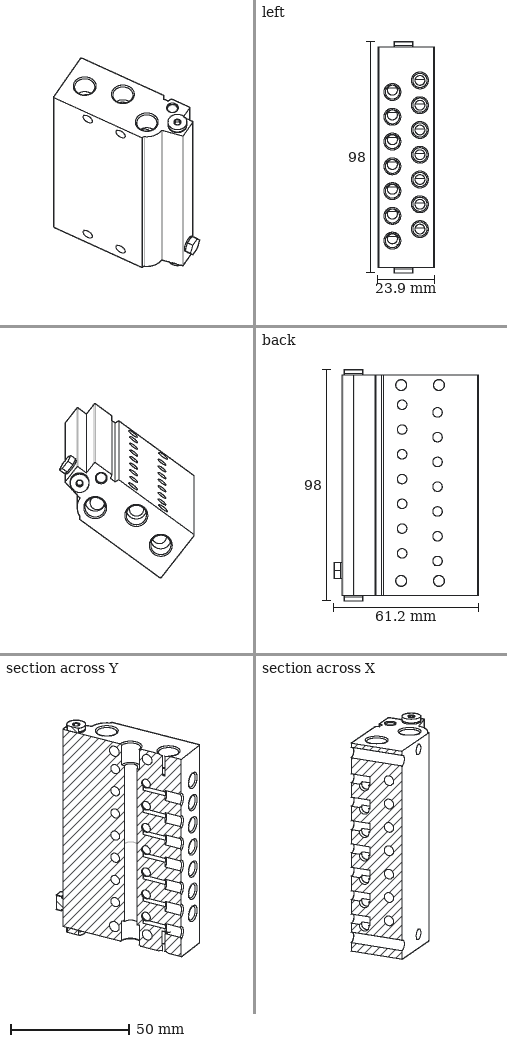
import cadquery as cq
import math

block_height = 93.5
block_depth = 23.9
block_top_z = block_height / 2
flange_x = 53.0
nose_x = 57.8
nose_back_y = 18.0
nose_front_y = 9.3
nose_root_y = 7.5
foot_x = 43.2
foot_fillet = 0.9
foot_chamfer = 0.2
root_fillet = 0.4
boss_radius = 7.6
edge_break = 0.4
port_face_chamfer = 0.4

groove_mouth = (40.3, 43.9)
groove_floor = (41.0, 43.3)
groove_depth = 1.7

gallery_bore_d = 6.0
gallery_mouth_d = 8.5
gallery_mouth_depth = 9.8
gallery_chamfer = 0.6
gallery_pitch = 15.0
middle_gallery_x = 24.8
gallery_bores = [
    (middle_gallery_x - gallery_pitch, 12.1),
    (middle_gallery_x, 15.9),
    (middle_gallery_x + gallery_pitch, 8.1),
]
gallery_mouths = [(8.7, 11.7), (24.9, 15.9), (40.9, 8.1)]

boss_x, boss_y = gallery_mouths[2]
boss_start = (foot_x, boss_y - math.sqrt(boss_radius**2 - (foot_x - boss_x) ** 2))
boss_end = (boss_x + math.sqrt(boss_radius**2 - (nose_root_y - boss_y) ** 2), nose_root_y)
boss_middle = (boss_x + boss_radius * math.sqrt(0.5), boss_y - boss_radius * math.sqrt(0.5))

pilot_hole = (46.6, 20.0)
pilot_hole_d = 4.2
pilot_chamfer = 0.4
pilot_mouth_depth = 1.0

mount_hole_d = 4.5
mount_hole_x = (16.8, 32.7)
mount_hole_mid_z = 1.0
mount_hole_spacing = 82.9

port_count = 7
port_pitch = 10.5
port_thread_d = 6.0
port_thread_depth = 7.8
port_mouth_d = 7.2
cross_bore_d = 4.0
cross_bore_overrun = 2.5

lower_row = dict(
    y=6.2, mid_z=1.1, drill_d=4.1, drill_rise=0.0, cross_x=32.3, cross_rise=1.6, ledge_rise=0.5
)
upper_row = dict(
    y=17.8, mid_z=-3.8, drill_d=4.2, drill_rise=0.8, cross_x=17.3, cross_rise=3.2, ledge_rise=1.8
)

plug_center = (52.9, 13.1)
plug_d = 8.0
overall_height = 98.0
plug_height = (overall_height - block_height) / 2
plug_seat_d = 7.9
plug_seat_height = 0.6
socket_flats = 2.45
socket_mouth_d = 3.0
socket_lead_in = 0.3
socket_depth = 1.6

screw_center = (13.8, -36.1)
screw_flats = 7.0
screw_seat_height = 0.7
screw_end_x = 61.2


def hex_corner_diameter(flats):
    return flats / math.cos(math.radians(30))


def block_profile():
    return (
        cq.Workplane("XY")
        .moveTo(0, 0)
        .lineTo(foot_x - foot_chamfer, 0)
        .lineTo(foot_x, foot_chamfer)
        .lineTo(*boss_start)
        .threePointArc(boss_middle, boss_end)
        .lineTo(nose_x, nose_front_y)
        .lineTo(nose_x, nose_back_y)
        .lineTo(flange_x, nose_back_y)
        .lineTo(flange_x, block_depth)
        .lineTo(groove_mouth[1], block_depth)
        .lineTo(groove_floor[1], block_depth - groove_depth)
        .lineTo(groove_floor[0], block_depth - groove_depth)
        .lineTo(groove_mouth[0], block_depth)
        .lineTo(0, block_depth)
        .close()
    )


def corner_at(x, y):
    reach = 0.1
    return cq.selectors.BoxSelector((x - reach, y - reach, -reach), (x + reach, y + reach, reach))


def block_body():
    body = block_profile().extrude(block_height / 2, both=True)
    for y in (0, block_depth):
        body = body.edges(corner_at(0, y)).chamfer(port_face_chamfer)
    for x, y in [(flange_x, block_depth), (nose_x, nose_back_y), (nose_x, nose_front_y)]:
        body = body.edges(corner_at(x, y)).fillet(edge_break)
    body = body.edges(corner_at(*boss_start)).fillet(foot_fillet)
    return body.edges(corner_at(*boss_end)).fillet(root_fillet)


def end_mouth(x, y, diameter, depth, chamfer):
    """Chamfered mouth cut into the upper end of the block."""
    r = diameter / 2
    rim = r + chamfer
    return (
        cq.Workplane("XZ", origin=(x, y, block_top_z))
        .polyline([(0, 0), (rim, 0), (r, -chamfer), (r, -depth), (0, -depth)])
        .close()
        .revolve(360, (0, 0), (0, 1))
    )


def through_z(points, diameter):
    return cq.Workplane("XY").pushPoints(points).circle(diameter / 2).extrude(block_height, both=True)


def cut_both_ends(body, mouth):
    return body.cut(mouth).cut(mouth.mirror("XY"))


def cut_galleries(body):
    body = body.cut(through_z(gallery_bores, gallery_bore_d))
    for x, y in gallery_mouths:
        body = cut_both_ends(body, end_mouth(x, y, gallery_mouth_d, gallery_mouth_depth, gallery_chamfer))
    return body


def cut_pilot_hole(body):
    body = body.cut(through_z([pilot_hole], pilot_hole_d))
    return cut_both_ends(body, end_mouth(*pilot_hole, pilot_hole_d, pilot_mouth_depth, pilot_chamfer))


def cut_mounting_holes(body):
    offset = mount_hole_spacing / 2
    rows_z = (mount_hole_mid_z - offset, mount_hole_mid_z + offset)
    points = [(x, z) for x in mount_hole_x for z in rows_z]
    holes = cq.Workplane("XZ").pushPoints(points).circle(mount_hole_d / 2).extrude(-block_depth)
    return body.cut(holes)


def port_cutter(y, z, drill_d, drill_rise, cross_x, cross_rise, ledge_rise):
    """Chamfered threaded mouth, narrower drilling, and the cross bore it runs into."""
    r = port_thread_d / 2
    rim = port_mouth_d / 2
    mouth = (
        cq.Workplane("XY", origin=(0, y, z))
        .polyline([(0, 0), (0, rim), (rim - r, r), (port_thread_depth, r), (port_thread_depth, 0)])
        .close()
        .revolve(360, (0, 0), (1, 0))
    )
    cross_r = cross_bore_d / 2
    drill_end = cross_x + math.sqrt(cross_r**2 - (cross_rise - ledge_rise) ** 2)
    drill = (
        cq.Workplane("YZ")
        .center(y, z + drill_rise)
        .circle(drill_d / 2)
        .extrude(drill_end)
    )
    cross = (
        cq.Workplane("XZ", origin=(0, y - cross_bore_overrun, 0))
        .center(cross_x, z + cross_rise)
        .circle(cross_r)
        .extrude(-block_depth)
    )
    return mouth.union(drill).union(cross)


def cut_port_row(body, y, mid_z, **port):
    for i in range(port_count):
        z = mid_z + (i - (port_count - 1) / 2) * port_pitch
        body = body.cut(port_cutter(y, z, **port))
    return body


def make_block():
    body = block_body()
    body = cut_galleries(body)
    body = cut_pilot_hole(body)
    body = cut_mounting_holes(body)
    body = cut_port_row(body, **lower_row)
    return cut_port_row(body, **upper_row)


def make_plug():
    seat = cq.Workplane("XY").circle(plug_seat_d / 2).extrude(plug_seat_height)
    head = (
        cq.Workplane("XY", origin=(0, 0, plug_seat_height))
        .circle(plug_d / 2)
        .extrude(plug_height - plug_seat_height)
    )
    socket = (
        cq.Workplane("XY", origin=(0, 0, plug_height))
        .polygon(6, hex_corner_diameter(socket_flats))
        .extrude(-socket_depth)
        .rotate((0, 0, 0), (0, 0, 1), 30)
    )
    lead_in = cq.Workplane("XY").add(
        cq.Solid.makeCone(
            socket_mouth_d / 2 - socket_lead_in,
            socket_mouth_d / 2,
            socket_lead_in,
            pnt=cq.Vector(0, 0, plug_height - socket_lead_in),
        )
    )
    plug = seat.union(head).cut(socket).cut(lead_in)
    return plug.translate((*plug_center, block_top_z))


def make_screw():
    seat = cq.Workplane("YZ").circle(screw_flats / 2).extrude(screw_seat_height)
    head = (
        cq.Workplane("YZ", origin=(screw_seat_height, 0, 0))
        .polygon(6, hex_corner_diameter(screw_flats))
        .extrude(screw_end_x - nose_x - screw_seat_height)
    )
    return seat.union(head).translate((nose_x, *screw_center))


block = make_block()
upper_plug = make_plug()
plugs = [upper_plug, upper_plug.mirror("XY")]
screw = make_screw()

result = cq.Compound.makeCompound([block.val(), *[plug.val() for plug in plugs], screw.val()])